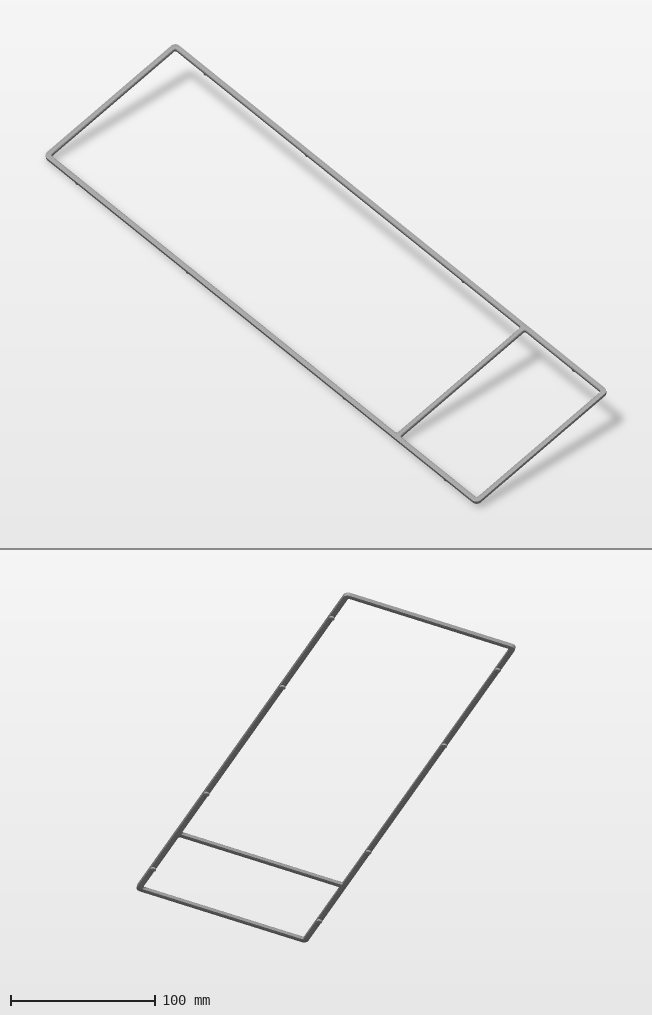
import cadquery as cq

length = 437.0
width = 127.5
thickness = 2.5
bar_width = 3.8
outer_corner_radius = 4.0
window_corner_radius = 1.5
window_chamfer = 0.52

cross_bar_x = 136.0

foot_diameter = 4.0
foot_height = 1.5
end_foot_x = 186.0
middle_foot_left_x = -74.5
middle_foot_right_x = 83.5

tilt_angle = 8.5


def window(left, right):
    """Cutter for one rounded opening between two X positions."""
    return (
        cq.Workplane("XY")
        .center((left + right) / 2, 0)
        .rect(right - left, width - 2 * bar_width)
        .extrude(thickness)
        .edges("|Z")
        .fillet(window_corner_radius)
    )


def top_window_edges():
    """Selector for the upper rims of the windows, leaving out the outer rim."""
    half_x = (length - bar_width) / 2
    half_y = (width - bar_width) / 2
    return cq.selectors.BoxSelector(
        (-half_x, -half_y, thickness - window_chamfer),
        (half_x, half_y, thickness + window_chamfer),
    )


def frame():
    """Flat frame resting on Z = 0, with two windows chamfered on top."""
    plate = (
        cq.Workplane("XY")
        .rect(length, width)
        .extrude(thickness)
        .edges("|Z")
        .fillet(outer_corner_radius)
    )
    inner_end = length / 2 - bar_width
    large_window = window(-inner_end, cross_bar_x - bar_width / 2)
    small_window = window(cross_bar_x + bar_width / 2, inner_end)
    opened = plate.cut(large_window).cut(small_window)
    return opened.edges(top_window_edges()).chamfer(window_chamfer)


def feet():
    """Four feet under the front bar and the same row turned half a turn under the rear bar."""
    foot_y = (width - foot_diameter) / 2
    front_x = [-end_foot_x, middle_foot_left_x, middle_foot_right_x, end_foot_x]
    front_points = [(x, -foot_y) for x in front_x]
    rear_points = [(-x, -y) for x, y in front_points]
    return (
        cq.Workplane("XY")
        .pushPoints(front_points + rear_points)
        .circle(foot_diameter / 2)
        .extrude(-foot_height)
    )


result = frame().union(feet()).rotate((0, 0, 0), (1, 0, 0), tilt_angle)